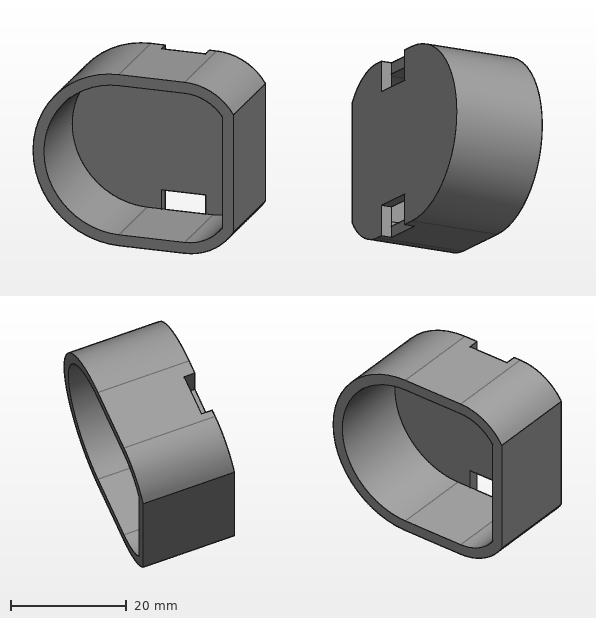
import cadquery as cq
import math

length = 36.6
depth = 17.0
height = 31.35
wall = 2.0
straight_length = 12.0
corner_radius = 10.5
slot_width = 8.0
slot_center_x = 22.33
slot_inner_z = 10.2

nose_radius = height / 2
corner_start_x = nose_radius + straight_length


def outline(inset):
    """D-shaped closed profile, moved inward by inset; Z is measured from the middle plane."""
    half_height = nose_radius - inset
    radius = corner_radius - inset
    end_x = length - inset
    center_z = half_height - radius
    sweep = math.asin((end_x - corner_start_x) / radius)
    end_z = center_z + radius * math.cos(sweep)
    mid_x = corner_start_x + radius * math.sin(sweep / 2)
    mid_z = center_z + radius * math.cos(sweep / 2)
    return (
        cq.Workplane("XZ")
        .moveTo(nose_radius, half_height)
        .lineTo(corner_start_x, half_height)
        .threePointArc((mid_x, mid_z), (end_x, end_z))
        .lineTo(end_x, -end_z)
        .threePointArc((mid_x, -mid_z), (corner_start_x, -half_height))
        .lineTo(nose_radius, -half_height)
        .threePointArc((inset, 0), (nose_radius, half_height))
        .close()
    )


def floor_slot(side):
    """Notch through the floor, open to the outer side wall; side is +1 (top) or -1 (bottom)."""
    slot_height = nose_radius - slot_inner_z
    center_z = side * (slot_inner_z + slot_height / 2)
    return cq.Workplane("XY").box(slot_width, wall, slot_height).translate(
        (slot_center_x, depth - wall / 2, center_z)
    )


body = outline(0).extrude(-depth)
cavity = outline(wall).extrude(-(depth - wall))
result = body.cut(cavity)

for side in (1, -1):
    result = result.cut(floor_slot(side))